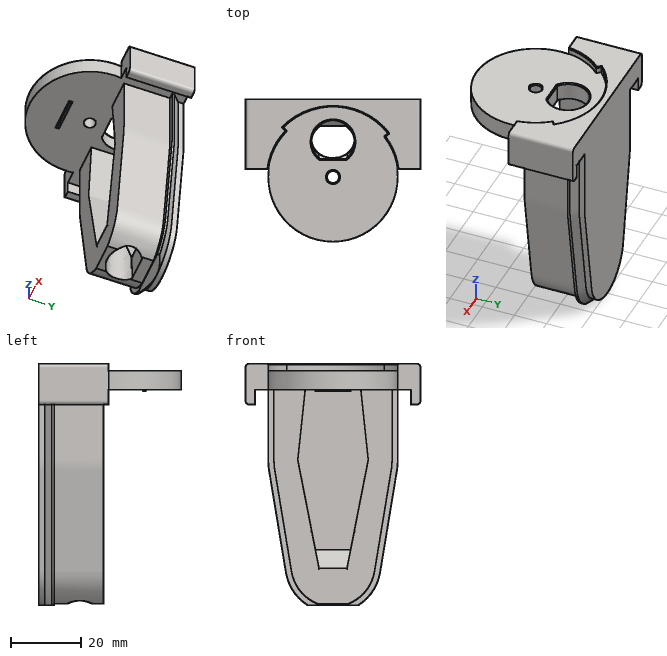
import math

import cadquery as cq

PLATE_WIDTH = 50.0
PLATE_DEPTH = 20.0
PLATE_THICKNESS = 7.5
HOOK_HEIGHT = 11.75
HOOK_THICKNESS = 2.8
HOOK_RADIUS = 1.15

OVERALL_DEPTH = 40.75
DISC_RADIUS = 18.5
DISC_Y = DISC_RADIUS - OVERALL_DEPTH
DISC_TOP = -2.0
DISC_THICKNESS = PLATE_THICKNESS + DISC_TOP
HOLE_CHAMFER = 0.35
CHAMFER_ANGLE = 45.0

RECESS_GAP = 0.1
RECESS_RADIUS = DISC_RADIUS + RECESS_GAP
RECESS_CHAMFER = 0.3
STOP_RADIUS = 20.05
STOP_START_ANGLE = 38.5
STOP_END_ANGLE = 135.0

PORT_RADIUS = 6.1
PORT_Y = -12.2
PORT_FLAT_OFFSET = 4.9
PIVOT_DIAMETER = 3.4

RIDGE_LENGTH = 10.4
RIDGE_WIDTH = 1.1
RIDGE_HEIGHT = 0.45
RIDGE_TAPER = 30.0
RIDGE_Y = -30.2

TONGUE_HALF_WIDTH = 16.85
TONGUE_FRONT = 18.55
TONGUE_KINK_Z = -29.0
TONGUE_KINK_RADIUS = 16.0
TONGUE_END_RADIUS = 12.0
TONGUE_END_Z = -57.4
TONGUE_BOTTOM = -68.6

RIM_OVERHANG = DISC_RADIUS - TONGUE_HALF_WIDTH
RIM_BACK_OFFSET = -0.4
RIM_BOTTOM = -69.0
RIM_SLOPE_START = 1.75
RIM_SLOPE_END = 3.7
RIM_FRONT = 4.4

CAVITY_TOP_HALF_WIDTH = 7.95
CAVITY_KINK_HALF_WIDTH = 10.05
CAVITY_KINK_Z = -27.5
CAVITY_FLOOR_HALF_WIDTH = 4.0
CAVITY_FLOOR_Z = -58.4
CAVITY_BACK = 4.0
RAMP_TOP_Z = -53.2
RAMP_FRONT = 7.7

OUTLET_HALF_WIDTH = 6.15
OUTLET_HALF_DEPTH = 5.1
OUTLET_Y = -11.75

CLEARANCE = 1.0


def slab(depth_from, depth_to, z_low, z_high, width=PLATE_WIDTH):
    """Box centred on X, reaching from one depth to another along -Y."""
    return cq.Workplane("XY").box(
        width, depth_to - depth_from, z_high - z_low, centered=(True, False, False)
    ).translate((0, -depth_to, z_low))


def make_plate():
    plate = slab(0, PLATE_DEPTH, -HOOK_HEIGHT, 0)
    plate = plate.edges("|Y").fillet(HOOK_RADIUS)
    inner_width = PLATE_WIDTH - 2 * HOOK_THICKNESS
    return plate.cut(slab(0, PLATE_DEPTH, -HOOK_HEIGHT, -PLATE_THICKNESS, inner_width))


def with_chamfered_rim(hole, chamfer):
    """Widen a downward cutter by a chamfer along the whole outline of its top face."""
    rim = hole.faces(">Z").wires().toPending().offset2D(chamfer, "intersection")
    return hole.union(rim.extrude(-chamfer, taper=CHAMFER_ANGLE))


def stop_sector():
    """Wedge with its tip on the disc axis, reaching past the stop radius."""
    reach = 2 * STOP_RADIUS
    corners = []
    for angle in (STOP_START_ANGLE, (STOP_START_ANGLE + STOP_END_ANGLE) / 2, STOP_END_ANGLE):
        turn = math.radians(angle)
        corners.append((reach * math.cos(turn), reach * math.sin(turn)))
    return cq.Workplane("XY").polyline([(0, 0)] + corners).close().extrude(DISC_TOP)


def make_recess():
    """Stepped recess above the disc, with a chamfer along its upper edge."""
    round_part = cq.Workplane("XY").circle(RECESS_RADIUS).extrude(DISC_TOP)
    stop_part = cq.Workplane("XY").circle(STOP_RADIUS).extrude(DISC_TOP).intersect(stop_sector())
    recess = round_part.union(stop_part)
    return with_chamfered_rim(recess, RECESS_CHAMFER).translate((0, DISC_Y, 0))


def make_disc():
    disc = (
        cq.Workplane("XY", origin=(0, DISC_Y, -PLATE_THICKNESS))
        .circle(DISC_RADIUS)
        .extrude(DISC_THICKNESS)
    )
    ridge = (
        cq.Workplane("XY", origin=(0, RIDGE_Y, -PLATE_THICKNESS))
        .rect(RIDGE_LENGTH, RIDGE_WIDTH)
        .extrude(-RIDGE_HEIGHT, taper=RIDGE_TAPER)
    )
    return disc.union(ridge)


def disc_bore(radius, y):
    """Straight round bore through the disc."""
    return cq.Workplane("XY", origin=(0, y, DISC_TOP)).circle(radius).extrude(-DISC_THICKNESS)


def make_port():
    """Round port with a flat on its front side."""
    behind_flat = slab(0, PORT_FLAT_OFFSET - PORT_Y, -PLATE_THICKNESS, DISC_TOP)
    return with_chamfered_rim(disc_bore(PORT_RADIUS, PORT_Y).intersect(behind_flat), HOLE_CHAMFER)


def make_pivot_hole():
    return with_chamfered_rim(disc_bore(PIVOT_DIAMETER / 2, DISC_Y), HOLE_CHAMFER)


def tongue_profile(depth, offset):
    """Tongue outline at a given depth, grown (or shrunk) by an offset: straight, tapering, round end."""
    half_width = TONGUE_HALF_WIDTH + offset
    end_radius = TONGUE_END_RADIUS + offset
    rise = TONGUE_KINK_Z - TONGUE_END_Z
    kink_distance = math.hypot(TONGUE_HALF_WIDTH, rise)
    tangent_angle = math.atan2(rise, TONGUE_HALF_WIDTH) - math.acos(TONGUE_END_RADIUS / kink_distance)
    tangent_x = end_radius * math.cos(tangent_angle)
    tangent_z = TONGUE_END_Z + end_radius * math.sin(tangent_angle)
    bend = -tangent_angle
    kink_radius = TONGUE_KINK_RADIUS + offset
    centre_x = TONGUE_HALF_WIDTH - TONGUE_KINK_RADIUS
    centre_z = TONGUE_KINK_Z + TONGUE_KINK_RADIUS * math.tan(bend / 2)

    def on_kink(turn):
        return centre_x + kink_radius * math.cos(turn), centre_z - kink_radius * math.sin(turn)

    def mirrored(point):
        return -point[0], point[1]

    top = (half_width, -PLATE_THICKNESS)
    kink_start = on_kink(0)
    kink_middle = on_kink(bend / 2)
    kink_end = on_kink(bend)
    tangent = (tangent_x, tangent_z)
    return (
        cq.Workplane("XZ", origin=(0, -depth, 0))
        .moveTo(*top)
        .lineTo(*kink_start)
        .threePointArc(kink_middle, kink_end)
        .lineTo(*tangent)
        .threePointArc((0, TONGUE_END_Z - end_radius), mirrored(tangent))
        .lineTo(*mirrored(kink_end))
        .threePointArc(mirrored(kink_middle), mirrored(kink_start))
        .lineTo(*mirrored(top))
        .close()
    )


def make_tongue():
    core = tongue_profile(RIM_SLOPE_END, 0).extrude(TONGUE_FRONT - RIM_SLOPE_END)
    core = core.intersect(slab(RIM_SLOPE_END, TONGUE_FRONT, TONGUE_BOTTOM, 0))

    back = tongue_profile(0, RIM_BACK_OFFSET).extrude(RIM_SLOPE_START)
    narrow = tongue_profile(RIM_SLOPE_START, RIM_BACK_OFFSET).wires().val()
    wide = tongue_profile(RIM_SLOPE_END, RIM_OVERHANG).wires().val()
    slope = cq.Workplane(cq.Solid.makeLoft([narrow, wide], True))
    lip = tongue_profile(RIM_SLOPE_END, RIM_OVERHANG).extrude(RIM_FRONT - RIM_SLOPE_END)
    rim = back.union(slope).union(lip).intersect(slab(0, RIM_FRONT, RIM_BOTTOM, 0))
    return core.union(rim)


def make_cavity():
    """Six-sided cavity with a ramp rising from its floor to its back wall."""
    right_side = [
        (CAVITY_TOP_HALF_WIDTH, -PLATE_THICKNESS),
        (CAVITY_KINK_HALF_WIDTH, CAVITY_KINK_Z),
        (CAVITY_FLOOR_HALF_WIDTH, CAVITY_FLOOR_Z),
    ]
    left_side = [(-x, z) for x, z in reversed(right_side)]
    cavity = (
        cq.Workplane("XZ", origin=(0, -CAVITY_BACK, 0))
        .polyline(right_side + left_side)
        .close()
        .extrude(TONGUE_FRONT - CAVITY_BACK)
    )
    ramp = (
        cq.Workplane("YZ")
        .polyline([(-CAVITY_BACK, RAMP_TOP_Z), (-RAMP_FRONT, CAVITY_FLOOR_Z), (-CAVITY_BACK, CAVITY_FLOOR_Z)])
        .close()
        .extrude(CAVITY_KINK_HALF_WIDTH, both=True)
    )
    return cavity.cut(ramp).union(make_well())


def make_well():
    """Straight-sided well below the cavity floor, its front ramp as steep as the back ramp."""
    ramp_height = RAMP_TOP_Z - CAVITY_FLOOR_Z
    ramp_length = RAMP_FRONT - CAVITY_BACK
    well_bottom = CAVITY_FLOOR_Z - ramp_height
    return (
        cq.Workplane("YZ")
        .polyline(
            [
                (-TONGUE_FRONT, CAVITY_FLOOR_Z),
                (ramp_length - TONGUE_FRONT, well_bottom),
                (-RAMP_FRONT, well_bottom),
                (-RAMP_FRONT, CAVITY_FLOOR_Z),
            ]
        )
        .close()
        .extrude(CAVITY_FLOOR_HALF_WIDTH, both=True)
    )


def make_outlet():
    """Oval bore up into the cavity, cut flat at the back along the foot of the ramp."""
    oval = (
        cq.Workplane("XY", origin=(0, OUTLET_Y, RIM_BOTTOM - CLEARANCE))
        .ellipse(OUTLET_HALF_WIDTH, OUTLET_HALF_DEPTH)
        .extrude(CAVITY_KINK_Z - RIM_BOTTOM)
    )
    return oval.intersect(slab(RAMP_FRONT, TONGUE_FRONT, RIM_BOTTOM - CLEARANCE, 0))


result = make_plate().cut(make_recess())
result = result.union(make_disc()).union(make_tongue())
for opening in (make_port(), make_pivot_hole(), make_cavity(), make_outlet()):
    result = result.cut(opening)